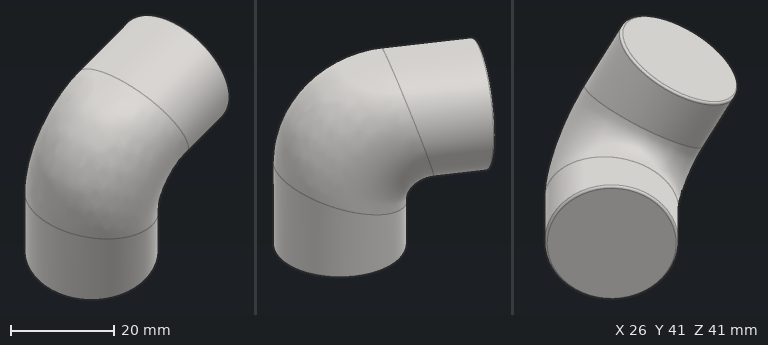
import cadquery as cq
import math

OUTER_DIAMETER = 26.0
OVERALL_LENGTH = 41.0
STRAIGHT_LENGTH = 10.25
OUTER_BEND_RADIUS = 22.2
RIM_FILLET = 0.5
BEND_SECTION_COUNT = 9

RADIUS = OUTER_DIAMETER / 2
LEG_REACH = OVERALL_LENGTH - RADIUS
INNER_BEND_RADIUS = LEG_REACH - RADIUS - STRAIGHT_LENGTH
MEAN_BEND_RADIUS = (INNER_BEND_RADIUS + OUTER_BEND_RADIUS) / 2
BEND_TAPER = (OUTER_BEND_RADIUS - INNER_BEND_RADIUS) / OUTER_DIAMETER
BEND_ANGLE = math.pi / 2


def bend_section(angle):
    """Elliptical section at an angle around the bend, measured from the vertical leg.

    The bend radius grows linearly from the inner to the outer side, so every
    section is as wide as the tube along X and stretched across the bend.
    """
    outward_y = -(1 - BEND_TAPER + BEND_TAPER * math.cos(angle))
    outward_z = 1 - BEND_TAPER + BEND_TAPER * math.sin(angle)
    center_y = MEAN_BEND_RADIUS * (1 - math.cos(angle))
    center_z = MEAN_BEND_RADIUS * (math.sin(angle) - 1)
    outward = cq.Vector(0, outward_y, outward_z)
    ellipse = cq.Edge.makeEllipse(
        RADIUS * outward.Length,
        RADIUS,
        cq.Vector(0, center_y, center_z),
        cq.Vector(1, 0, 0).cross(outward),
        outward,
    )
    return cq.Wire.assembleEdges([ellipse])


def make_bend():
    """Loft through the sections, from the vertical leg to the horizontal one."""
    step = BEND_ANGLE / (BEND_SECTION_COUNT - 1)
    sections = [bend_section(index * step) for index in range(BEND_SECTION_COUNT)]
    return cq.Workplane(cq.Solid.makeLoft(sections))


def make_vertical_leg():
    """Cylinder with a filleted lower rim, cut off along the plane where the bend starts."""
    inner_bend_start = -RADIUS - INNER_BEND_RADIUS
    outer_bend_start = RADIUS - OUTER_BEND_RADIUS
    side_profile = [
        (RADIUS, -LEG_REACH),
        (RADIUS, inner_bend_start),
        (-RADIUS, outer_bend_start),
        (-RADIUS, -LEG_REACH),
    ]
    envelope = cq.Workplane("YZ").polyline(side_profile).close().extrude(OUTER_DIAMETER, both=True)
    cylinder = (
        cq.Workplane("XY")
        .workplane(offset=-LEG_REACH)
        .circle(RADIUS)
        .extrude(LEG_REACH)
        .faces("<Z")
        .edges()
        .fillet(RIM_FILLET)
    )
    return cylinder.intersect(envelope)


def mirror_across_bend(body):
    """Mirror across the diagonal plane of the elbow, swapping -Z and +Y."""
    quarter_turn = body.rotate((0, 0, 0), (1, 0, 0), math.degrees(BEND_ANGLE))
    return quarter_turn.mirror("XY")


vertical_leg = make_vertical_leg()
horizontal_leg = mirror_across_bend(vertical_leg)
result = make_bend().union(vertical_leg).union(horizontal_leg)